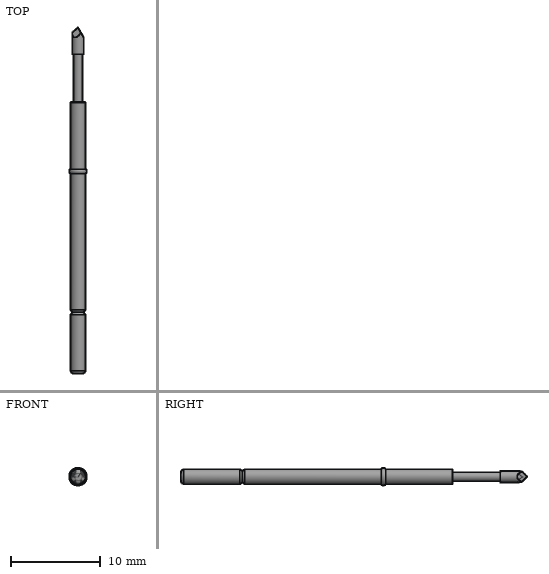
import cadquery as cq
import math

total_length = 38.7

body_diameter = 1.7
collar_diameter = 2.0
plunger_diameter = 1.04
head_diameter = 1.3
groove_diameter = 1.3
tail_flat_diameter = 0.8

head_length = 3.0
plunger_reach = 8.3
mouth_chamfer = 0.1
collar_setback = 15.82
collar_width = 0.5
groove_setback = 31.53
groove_width = 0.56
tail_rounding_length = 0.35

point_flats = 3
flat_lean_degrees = 30.0

body_radius = body_diameter / 2
collar_radius = collar_diameter / 2
plunger_radius = plunger_diameter / 2
head_radius = head_diameter / 2
body_front = total_length - plunger_reach


def make_cylinder(radius, start, end):
    """Cylinder on the Y axis between two positions."""
    return cq.Workplane("XZ", origin=(0, start, 0)).circle(radius).extrude(start - end)


def make_body():
    """Barrel with a rounded tail and a chamfered mouth."""
    tail_radius = tail_flat_diameter / 2
    rounding_width = body_radius - tail_radius
    rounding_radius = (rounding_width**2 + tail_rounding_length**2) / (2 * tail_rounding_length)
    half_sweep = math.atan2(tail_rounding_length, rounding_width)
    tail_middle = (
        tail_radius + rounding_radius * math.sin(half_sweep),
        rounding_radius * (1 - math.cos(half_sweep)),
    )
    profile = (
        cq.Workplane("XY")
        .lineTo(tail_radius, 0)
        .threePointArc(tail_middle, (body_radius, tail_rounding_length))
        .lineTo(body_radius, body_front - mouth_chamfer)
        .lineTo(body_radius - mouth_chamfer, body_front)
        .lineTo(0, body_front)
        .close()
    )
    return profile.revolve(360, (0, 0, 0), (0, 1, 0))


def make_collar():
    """Rounded press-fit bead around the barrel, reaching in to the axis."""
    front = total_length - collar_setback
    back = front - collar_width
    profile = (
        cq.Workplane("XY")
        .moveTo(0, front)
        .lineTo(body_radius, front)
        .threePointArc((collar_radius, (front + back) / 2), (body_radius, back))
        .lineTo(0, back)
        .close()
    )
    return profile.revolve(360, (0, 0, 0), (0, 1, 0))


def make_groove():
    """Cutter for the V-shaped crimp groove around the barrel."""
    front = total_length - groove_setback
    profile = (
        cq.Workplane("XY")
        .moveTo(body_radius, front)
        .lineTo(groove_diameter / 2, front - groove_width / 2)
        .lineTo(body_radius, front - groove_width)
        .close()
    )
    return profile.revolve(360, (0, 0, 0), (0, 1, 0))


def make_plunger():
    """Shank and wider head, the head ground to a pyramid point."""
    head_start = total_length - head_length
    shank = make_cylinder(plunger_radius, body_front, head_start)
    head = make_cylinder(head_radius, head_start, total_length)
    flat_reach = head_radius / math.tan(math.radians(flat_lean_degrees))
    waste = (
        cq.Workplane("XY")
        .moveTo(0, total_length)
        .lineTo(head_radius, total_length - flat_reach)
        .lineTo(head_radius, total_length)
        .close()
        .extrude(head_radius, both=True)
    )
    for flat in range(point_flats):
        angle = flat * 360 / point_flats
        head = head.cut(waste.rotate((0, 0, 0), (0, 1, 0), angle))
    return shank.union(head)


result = make_body().cut(make_groove()).union(make_collar()).union(make_plunger())